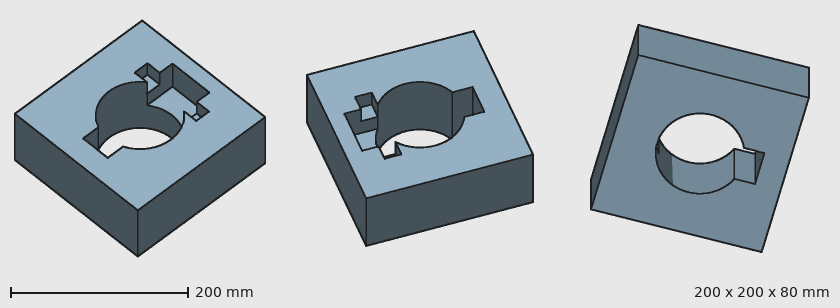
import cadquery as cq

side = 200
height = 80

bore_radius = 50
keyway_width = 40
keyway_reach = 70

pocket_width = 60
pocket_reach = 80
pocket_depth = 40
ear_width = 20
ear_start = 40
ear_end = 60
ear_depth = 20


def top_cutter(width, y_start, y_end, depth):
    """Box symmetric about X = 0 that cuts down from the top face."""
    return (
        cq.Workplane("XY")
        .box(width, y_end - y_start, depth, centered=(True, False, False))
        .translate((0, y_start, height - depth))
    )


block = cq.Workplane("XY").box(side, side, height, centered=(True, True, False))
bore = cq.Workplane("XY").circle(bore_radius).extrude(height)
keyway = top_cutter(keyway_width, -keyway_reach, 0, height)

pocket = top_cutter(pocket_width, 0, pocket_reach, pocket_depth)
ears = top_cutter(pocket_width + 2 * ear_width, ear_start, ear_end, ear_depth)

result = block.cut(bore).cut(keyway).cut(pocket).cut(ears)